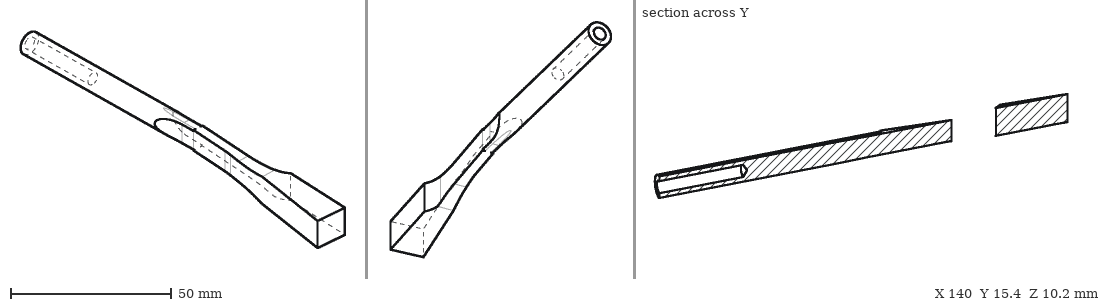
import cadquery as cq
import math

shank_diameter = 8.0
shank_radius = shank_diameter / 2
hole_diameter = 4.2
hole_depth = 28.0
drill_point_angle = 118.0

thinning_start = 59.5
thinning_end = 69.6
shank_end = 74.6
bend_start = 89.7
bend_end = 92.7
flare_start = 96.9
flare_end = 109.6
shoulder_start = 107.8
shoulder_end = 114.4
total_length = 140.0

neck_thickness = 3.8
neck_half_thickness = neck_thickness / 2
neck_height = 7.7
neck_half_height = neck_height / 2
head_height = 10.2
head_half_height = head_height / 2
bend_end_y = -3.5
neck_fall = 1.19
back_slope = -neck_fall / (bend_start - shank_end)
shoulder_y = 1.4
head_back_end_y = -0.1
head_front_end_x = 139.3
total_width = 15.4
head_front_end_y = shank_radius - total_width

shank_clearance = 2 * shank_diameter


def tangent_arc_height(length, rise, distance):
    """Height at a distance along an arc that starts level and climbs by rise over length."""
    radius = (length**2 + rise**2) / (2 * rise)
    return radius - math.sqrt(radius**2 - distance**2)


def thinning_outline(plane, neck_half_width):
    """Strip as wide as the shank, narrowed by a hollow arc on both sides to the neck width."""
    length = thinning_end - thinning_start
    rise = shank_radius - neck_half_width
    middle_x = thinning_end - length / 2
    middle = neck_half_width + tangent_arc_height(length, rise, length / 2)
    return (
        cq.Workplane(plane)
        .moveTo(0, -shank_radius)
        .lineTo(thinning_start, -shank_radius)
        .threePointArc((middle_x, -middle), (thinning_end, -neck_half_width))
        .lineTo(shank_end, -neck_half_width)
        .lineTo(shank_end, neck_half_width)
        .lineTo(thinning_end, neck_half_width)
        .threePointArc((middle_x, middle), (thinning_start, shank_radius))
        .lineTo(0, shank_radius)
        .close()
        .extrude(shank_clearance, both=True)
    )


def make_shank():
    shank = cq.Workplane("YZ").circle(shank_radius).extrude(shank_end)
    shank = shank.intersect(thinning_outline("XY", neck_half_thickness))
    return shank.intersect(thinning_outline("XZ", neck_half_height))


def back_y(x):
    """Y of the straight, sloping back of the blade."""
    return neck_half_thickness + back_slope * (x - shank_end)


def blade_plan():
    """Bent blade and head outline in XY, extruded past the head height."""
    bend_start_y = back_y(bend_start) - 2 * neck_half_thickness
    return (
        cq.Workplane("XY")
        .moveTo(shank_end, neck_half_thickness)
        .lineTo(shoulder_start, back_y(shoulder_start))
        .tangentArcPoint((shoulder_end, shoulder_y), relative=False)
        .lineTo(total_length, head_back_end_y)
        .lineTo(head_front_end_x, head_front_end_y)
        .lineTo(bend_end, bend_end_y)
        .tangentArcPoint((bend_start, bend_start_y), relative=False)
        .lineTo(shank_end, -neck_half_thickness)
        .close()
        .extrude(2 * head_half_height, both=True)
    )


def blade_elevation():
    """Blade outline in XZ: level neck, arc flare, then the level head."""
    length = flare_end - flare_start
    rise = head_half_height - neck_half_height
    middle_x = flare_start + length / 2
    middle = neck_half_height + tangent_arc_height(length, rise, length / 2)
    return (
        cq.Workplane("XZ")
        .moveTo(shank_end, -neck_half_height)
        .lineTo(flare_start, -neck_half_height)
        .threePointArc((middle_x, -middle), (flare_end, -head_half_height))
        .lineTo(total_length, -head_half_height)
        .lineTo(total_length, head_half_height)
        .lineTo(flare_end, head_half_height)
        .threePointArc((middle_x, middle), (flare_start, neck_half_height))
        .lineTo(shank_end, neck_half_height)
        .close()
        .extrude(-2 * head_front_end_y, both=True)
    )


def drilled_hole():
    """Blind hole with a conical drill point, revolved about the shank axis."""
    hole_radius = hole_diameter / 2
    point_length = hole_radius / math.tan(math.radians(drill_point_angle / 2))
    return (
        cq.Workplane("XY")
        .lineTo(0, hole_radius)
        .lineTo(hole_depth, hole_radius)
        .lineTo(hole_depth + point_length, 0)
        .close()
        .revolve(360, (0, 0, 0), (1, 0, 0))
    )


blade = blade_plan().intersect(blade_elevation())
result = make_shank().union(blade).cut(drilled_hole())